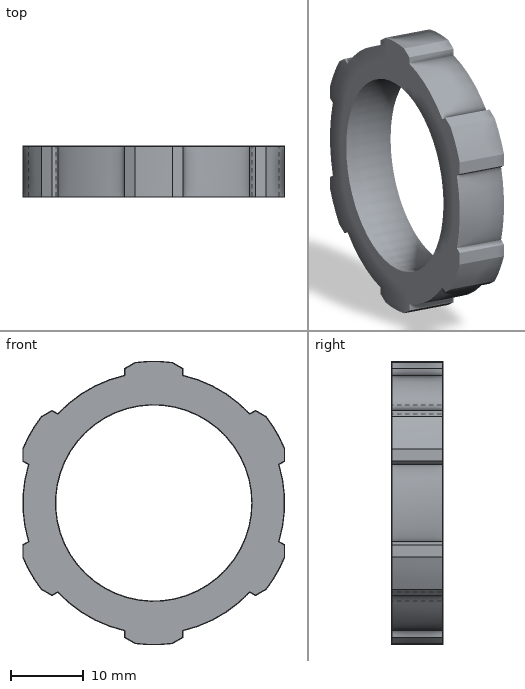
import cadquery as cq
import math

outer_diameter = 38.98
across_flats = 36.0
bore_diameter = 26.97
thickness = 7.0
lug_width = 8.03
lug_count = 6

hexagon_diameter = across_flats / math.cos(math.pi / lug_count)


def back_plane():
    """XZ sketch plane on the back face, facing -Y so that extrusions are centred on Y = 0."""
    return cq.Workplane("XZ", origin=(0, thickness / 2, 0))


def cylinder(diameter):
    return back_plane().circle(diameter / 2).extrude(thickness)


def make_lugs():
    """Straight bars through the axis, one for each opposite pair of lugs."""
    bar = cq.Workplane("XY").box(lug_width, thickness, outer_diameter)
    bars = bar
    for index in range(1, lug_count // 2):
        angle = index * 360 / lug_count
        bars = bars.union(bar.rotate((0, 0, 0), (0, 1, 0), angle))

    hexagon = back_plane().polygon(lug_count, hexagon_diameter).extrude(thickness)
    hexagon = hexagon.rotate((0, 0, 0), (0, 1, 0), 180 / lug_count)
    tip_cylinder = cylinder(outer_diameter)
    return bars.intersect(hexagon).intersect(tip_cylinder)


ring = cylinder(across_flats)
bore = cylinder(bore_diameter)

result = ring.union(make_lugs()).cut(bore)